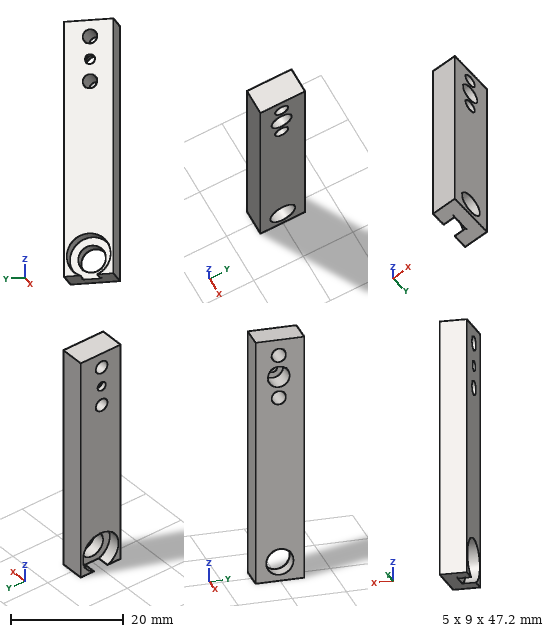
import cadquery as cq

thickness = 5.0
width = 9.0
length = 47.2

bore_diameter = 5.0
recess_diameter = 8.0
recess_depth = 2.5
bore_height = 3.7

row_y = -0.22
outer_hole_diameter = 2.61
upper_hole_below_top = 3.04
upper_to_middle = 4.2
middle_to_lower = 4.1

middle_hole_diameter = 1.8
middle_recess_diameter = 4.0
middle_mouth_depth = 1.0

upper_hole_z = length - upper_hole_below_top
middle_hole_z = upper_hole_z - upper_to_middle
lower_hole_z = middle_hole_z - middle_to_lower


def x_cylinder(diameter, y, z, x_start, x_end):
    """Round cutter along X between two X positions."""
    return (
        cq.Workplane("YZ", origin=(x_start, y, z))
        .circle(diameter / 2)
        .extrude(x_end - x_start)
    )


def through_hole(diameter, y, z):
    """Round cutter through the whole thickness."""
    return x_cylinder(diameter, y, z, 0, thickness)


result = cq.Workplane("XY").box(thickness, width, length, centered=(False, True, False))

result = result.cut(through_hole(bore_diameter, 0, bore_height))
result = result.cut(x_cylinder(recess_diameter, 0, bore_height, 0, recess_depth))

for hole_z in (upper_hole_z, lower_hole_z):
    result = result.cut(through_hole(outer_hole_diameter, row_y, hole_z))

result = result.cut(through_hole(middle_hole_diameter, row_y, middle_hole_z))
result = result.cut(
    x_cylinder(middle_recess_diameter, row_y, middle_hole_z, middle_mouth_depth, thickness)
)